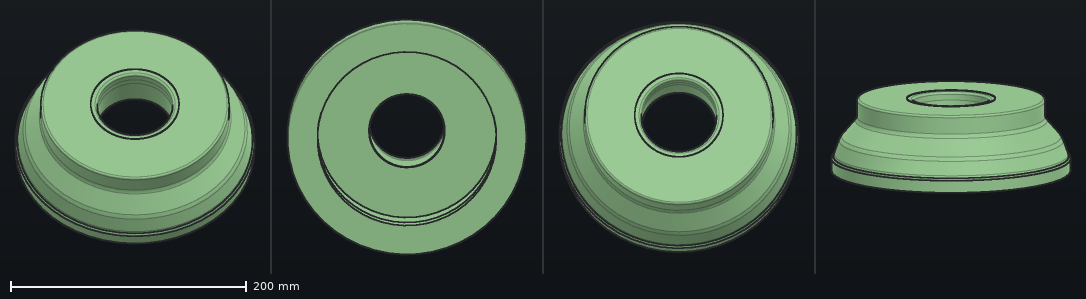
import cadquery as cq
import math

outer_radius = 101.6
total_height = 63.0

ring_height = 10.6
ring_edge_radius = 0.6
cavity_radius = 76.0

flange_top = 12.5
flange_edge_radius = 0.9

hub_radius = 80.0
hub_foot = 45.1
shoulder_radius = 94.6
shoulder_height = 28.35
flare_foot_radius = 99.9
lower_flare_angle = 20.0
hub_edge_radius = 1.8
hub_foot_fillet = 5.5
shoulder_fillet = 11.0
flare_foot_fillet = 6.0

web_thickness = 35.0
spotface_radius = 37.5
spotface_depth = 0.5
bore_radius = 31.75
counterbore_radius = 32.0
counterbore_depth = 7.5
taper_end_depth = 12.2
bore_lip_radius = 2.0
bore_exit_chamfer = 0.5

match_tolerance = 0.001


def edge_at(body, radius, height):
    """Circular edge of a turned body at the given radius and height."""
    return body.edges("%CIRCLE").filter(
        lambda edge: math.isclose(edge.radius(), radius, abs_tol=match_tolerance)
        and math.isclose(edge.Center().z, height, abs_tol=match_tolerance)
    )


def make_ring():
    """Annular rim with its outer bottom edge rounded."""
    ring = cq.Workplane("XY").circle(outer_radius).circle(cavity_radius).extrude(ring_height)
    return edge_at(ring, outer_radius, 0).fillet(ring_edge_radius)


def make_wheel_body():
    """Hollow flared body with a flange, a hub and a stepped mounting hole."""
    flare_corner = shoulder_height - (flare_foot_radius - shoulder_radius) / math.tan(
        math.radians(lower_flare_angle)
    )
    web_bottom = total_height - web_thickness
    spotface_height = total_height - spotface_depth
    profile = (
        cq.Workplane("XZ")
        .moveTo(cavity_radius, ring_height)
        .lineTo(outer_radius, ring_height)
        .lineTo(outer_radius, flange_top)
        .lineTo(flare_foot_radius, flange_top)
        .lineTo(flare_foot_radius, flare_corner)
        .lineTo(shoulder_radius, shoulder_height)
        .lineTo(hub_radius, hub_foot)
        .lineTo(hub_radius, total_height)
        .lineTo(spotface_radius, total_height)
        .lineTo(spotface_radius, spotface_height)
        .lineTo(counterbore_radius, spotface_height)
        .lineTo(counterbore_radius, total_height - counterbore_depth)
        .lineTo(bore_radius, total_height - taper_end_depth)
        .lineTo(bore_radius, web_bottom)
        .lineTo(cavity_radius, web_bottom)
    )
    body = profile.close().revolve(360, (0, 0), (0, 1))
    body = edge_at(body, outer_radius, flange_top).fillet(flange_edge_radius)
    body = edge_at(body, flare_foot_radius, flare_corner).fillet(flare_foot_fillet)
    body = edge_at(body, shoulder_radius, shoulder_height).fillet(shoulder_fillet)
    body = edge_at(body, hub_radius, hub_foot).fillet(hub_foot_fillet)
    body = edge_at(body, hub_radius, total_height).fillet(hub_edge_radius)
    body = edge_at(body, counterbore_radius, spotface_height).fillet(bore_lip_radius)
    return edge_at(body, bore_radius, web_bottom).chamfer(bore_exit_chamfer)


ring = make_ring()
wheel_body = make_wheel_body()

result = cq.Compound.makeCompound([ring.val(), wheel_body.val()])